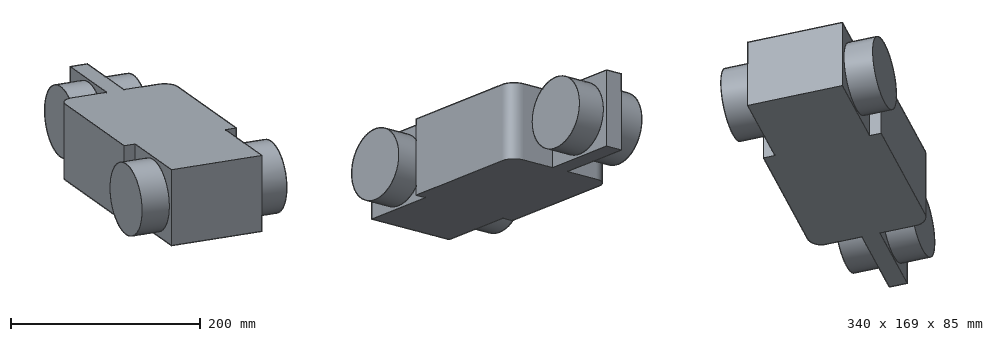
import cadquery as cq

length = 340.0
height = 85.0

tongue_length = 90.0
tongue_width = 20.0
body_end = 250.2
body_width = 131.0
tail_width = 105.5
corner_radius = 15.3

wheel_diameter = 79.0
axle_inset = 45.0
front_track = 85.0
rear_track = 169.0


def block(x_start, x_end, width):
    """Full-height block between two X positions, centred on Y and Z."""
    size_x = x_end - x_start
    return cq.Workplane("XY").box(size_x, width, height).translate(((x_start + x_end) / 2, 0, 0))


def wheel_pair(x_axle, track):
    """Two coaxial wheels whose outer faces are one track apart."""
    return (
        cq.Workplane("XZ")
        .center(x_axle, 0)
        .circle(wheel_diameter / 2)
        .extrude(track / 2, both=True)
    )


tongue = block(0, tongue_length, tongue_width)
body = block(tongue_length, body_end, body_width).edges("|Z and <X").fillet(corner_radius)
tail = block(body_end, length, tail_width)

front_wheels = wheel_pair(axle_inset, front_track)
rear_wheels = wheel_pair(length - axle_inset, rear_track)

result = (
    body.union(tongue)
    .union(tail)
    .union(front_wheels)
    .union(rear_wheels)
    .translate((-length / 2, 0, 0))
)